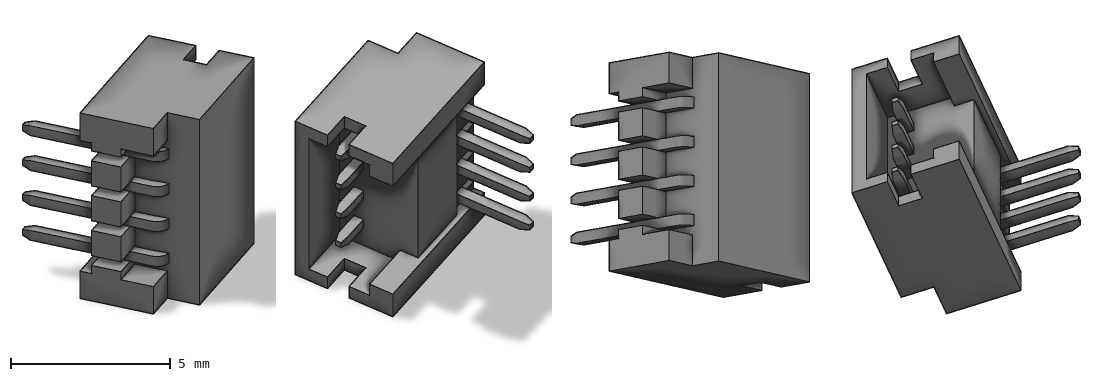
import cadquery as cq

HOUSING_WIDTH = 3.6
HOUSING_DEPTH = 5.4
HOUSING_HEIGHT = 6.65
END_WALL = 0.985

STEP_WIDTH = 1.1
STEP_DEPTH = 1.1
STEP_X = HOUSING_WIDTH - STEP_WIDTH

CORE_SETBACK = 0.2
FOOT_SETBACK = 0.39
FOOT_BACK_Y = 1.3
FOOT_RIGHT_X = 1.395

CAVITY_FLOOR_Y = 3.59
CAVITY_WALL = 0.5
LIP_WIDTH = 0.86

NOTCH_LEFT_X = 1.615
NOTCH_WIDTH = 0.79
NOTCH_DEPTH = 0.99

PIN_COUNT = 4
PIN_PITCH = 1.25
PIN_SIZE = 0.35
PIN_TIP_SIZE = 0.2
PIN_TAPER = 0.305
PIN_BEND_INNER_RADIUS = 0.09
PIN_BEND_RADIUS = PIN_BEND_INNER_RADIUS + PIN_SIZE / 2
PIN_AXIS_Y = 0.9
PIN_AXIS_X = 2.39
PIN_TAIL_X = -2.3
PIN_CONTACT_Y = 4.79


def box(x_range, y_range, z_range):
    """Box spanning the given (low, high) range along each axis."""
    lows, highs = zip(x_range, y_range, z_range)
    sizes = [high - low for low, high in zip(lows, highs)]
    return cq.Workplane("XY").box(*sizes, centered=False).translate(lows)


def make_housing():
    full_height = (0, HOUSING_HEIGHT)
    between_walls = (END_WALL, HOUSING_HEIGHT - END_WALL)
    cavity_depth = (CAVITY_FLOOR_Y, HOUSING_DEPTH)

    housing = box((0, HOUSING_WIDTH), (0, HOUSING_DEPTH), full_height)
    housing = housing.cut(box((STEP_X, HOUSING_WIDTH), (0, STEP_DEPTH), full_height))

    housing = housing.cut(box((0, CORE_SETBACK), (0, HOUSING_DEPTH), between_walls))
    housing = housing.cut(box((0, FOOT_SETBACK), (0, FOOT_BACK_Y), between_walls))
    housing = housing.cut(box((FOOT_RIGHT_X, STEP_X), (0, STEP_DEPTH), between_walls))

    housing = housing.cut(box((0, LIP_WIDTH), cavity_depth, between_walls))
    housing = housing.cut(
        box(
            (LIP_WIDTH, HOUSING_WIDTH - CAVITY_WALL),
            cavity_depth,
            (CAVITY_WALL, HOUSING_HEIGHT - CAVITY_WALL),
        )
    )

    notch = box(
        (NOTCH_LEFT_X, NOTCH_LEFT_X + NOTCH_WIDTH),
        (HOUSING_DEPTH - NOTCH_DEPTH, HOUSING_DEPTH),
        full_height,
    )
    return housing.cut(notch)


def make_slot(pin_z):
    """Slot through the foot, open to the front, that the pin tail lies in."""
    half = PIN_SIZE / 2
    return box((FOOT_SETBACK, FOOT_RIGHT_X), (0, STEP_DEPTH), (pin_z - half, pin_z + half))


def make_tip(base, direction):
    """Tapered pin end that starts at base and points along direction."""
    plane = cq.Plane(origin=base, xDir=(0, 0, 1), normal=direction)
    return (
        cq.Workplane(plane)
        .rect(PIN_SIZE, PIN_SIZE)
        .workplane(offset=PIN_TAPER)
        .rect(PIN_TIP_SIZE, PIN_TIP_SIZE)
        .loft(ruled=True)
    )


def make_pin(pin_z):
    """Pin with its tail along -X and its contact along +Y, joined by a round bend."""
    tail_end_x = PIN_TAIL_X + PIN_TAPER
    contact_end_y = PIN_CONTACT_Y - PIN_TAPER
    bend_start_x = PIN_AXIS_X - PIN_BEND_RADIUS
    bend_end_y = PIN_AXIS_Y + PIN_BEND_RADIUS

    path = (
        cq.Workplane("XY", origin=(0, 0, pin_z))
        .moveTo(tail_end_x, PIN_AXIS_Y)
        .lineTo(bend_start_x, PIN_AXIS_Y)
        .radiusArc((PIN_AXIS_X, bend_end_y), -PIN_BEND_RADIUS)
        .lineTo(PIN_AXIS_X, contact_end_y)
    )
    shank = (
        cq.Workplane("YZ", origin=(tail_end_x, PIN_AXIS_Y, pin_z))
        .rect(PIN_SIZE, PIN_SIZE)
        .sweep(path)
    )
    tail_tip = make_tip((tail_end_x, PIN_AXIS_Y, pin_z), (-1, 0, 0))
    contact_tip = make_tip((PIN_AXIS_X, contact_end_y, pin_z), (0, 1, 0))
    return shank.union(tail_tip).union(contact_tip)


result = make_housing()
first_pin_z = HOUSING_HEIGHT / 2 - PIN_PITCH * (PIN_COUNT - 1) / 2
for index in range(PIN_COUNT):
    z = first_pin_z + index * PIN_PITCH
    result = result.cut(make_slot(z)).union(make_pin(z))